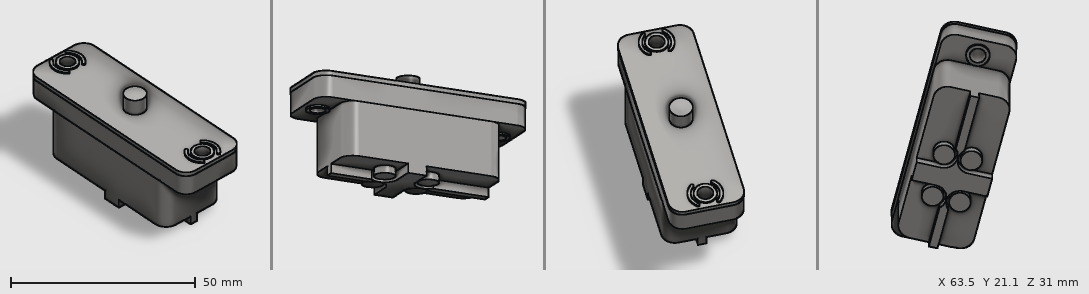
import cadquery as cq
import math

rib_height = 2.65
post_bottom = 0.5
flange_bottom = 18.3
lid_bottom = 24.45
lid_top = 25.8
button_edge = 30.6
button_top = 31.05

lid_length = 63.5
lid_width = 21.1
lid_overhang = 0.05
body_length = 47.4
corner_radius = 3.9

cross_rib_x = 2.3
cross_rib_width = 5.6
long_rib_width = 2.4

post_radius = 2.9
relief_radius = 3.75
post_offset_x = cross_rib_width / 2 + relief_radius
post_offset_y = 3.8

mount_x = 27.1
hole_radius = 2.15
bushing_radius = 3.205
bushing_bottom = 17.7
raised_height = 0.45
ridge_radius = 4.415
ridge_width = 0.95
ridge_half_angle = 49

button_radius = 3.205


def rounded_block(length, width, bottom, top):
    """Centred block with rounded vertical corners."""
    block = cq.Workplane("XY").workplane(offset=bottom).rect(length, width).extrude(top - bottom)
    return block.edges("|Z").fillet(corner_radius)


def box(x_min, x_max, y_min, y_max, height):
    """Box standing on the rib underside plane."""
    return cq.Workplane("XY").box(
        x_max - x_min, y_max - y_min, height, centered=False
    ).translate((x_min, y_min, 0))


def cylinder(x, y, radius, bottom, top):
    return cq.Workplane("XY").workplane(offset=bottom).center(x, y).circle(radius).extrude(top - bottom)


def polar(radius, degrees):
    angle = math.radians(degrees)
    return (radius * math.cos(angle), radius * math.sin(angle))


def ridge(x, direction):
    """Round-ended arc ridge centred on a direction around the mounting hole."""
    start = direction - ridge_half_angle
    end = direction + ridge_half_angle
    inner = ridge_radius - ridge_width / 2
    outer = ridge_radius + ridge_width / 2
    end_bulge = math.degrees(ridge_width / 2 / ridge_radius)
    return (
        cq.Workplane("XY").workplane(offset=lid_top).center(x, 0)
        .moveTo(*polar(outer, start))
        .threePointArc(polar(outer, direction), polar(outer, end))
        .threePointArc(polar(ridge_radius, end + end_bulge), polar(inner, end))
        .threePointArc(polar(inner, direction), polar(inner, start))
        .threePointArc(polar(ridge_radius, start - end_bulge), polar(outer, start))
        .close()
        .extrude(raised_height)
    )


def domed_button():
    """Revolved push button with a shallow spherical end."""
    rise = button_top - button_edge
    sphere_radius = (button_radius**2 + rise**2) / (2 * rise)
    middle = button_radius / 2
    middle_z = button_top - sphere_radius + math.sqrt(sphere_radius**2 - middle**2)
    return (
        cq.Workplane("XZ")
        .moveTo(0, lid_bottom)
        .lineTo(button_radius, lid_bottom)
        .lineTo(button_radius, button_edge)
        .threePointArc((middle, middle_z), (0, button_top))
        .close()
        .revolve(360, (0, 0, 0), (0, 1, 0))
    )


def rib_cross():
    """Cross of ribs with relieved inner corners and four posts."""
    half_length = body_length / 2
    half_width = lid_width / 2
    half_cross = cross_rib_width / 2
    half_long = long_rib_width / 2
    cross = box(-half_length, half_length, -half_long, half_long, rib_height)
    cross = cross.union(
        box(cross_rib_x - half_cross, cross_rib_x + half_cross, -half_width, half_width, rib_height)
    )
    cross = cross.union(
        box(cross_rib_x - post_offset_x, cross_rib_x + post_offset_x,
            -post_offset_y, post_offset_y, rib_height)
    )
    centers = [
        (cross_rib_x + side_x * post_offset_x, side_y * post_offset_y)
        for side_x in (-1, 1)
        for side_y in (-1, 1)
    ]
    for x, y in centers:
        cross = cross.cut(cylinder(x, y, relief_radius, 0, rib_height))
    for x, y in centers:
        cross = cross.union(cylinder(x, y, post_radius, post_bottom, rib_height))
    return cross


result = rounded_block(body_length, lid_width, rib_height, flange_bottom)
result = result.union(
    rounded_block(lid_length - 2 * lid_overhang, lid_width - 2 * lid_overhang, flange_bottom, lid_bottom)
)
result = result.union(rounded_block(lid_length, lid_width, lid_bottom, lid_top))
result = result.union(rib_cross())
result = result.union(domed_button())

for x in (-mount_x, mount_x):
    bushing_top = lid_top + raised_height
    result = result.union(cylinder(x, 0, bushing_radius, bushing_bottom, bushing_top))
    for direction in (90, 270):
        result = result.union(ridge(x, direction))
    result = result.cut(cylinder(x, 0, hole_radius, bushing_bottom, bushing_top))